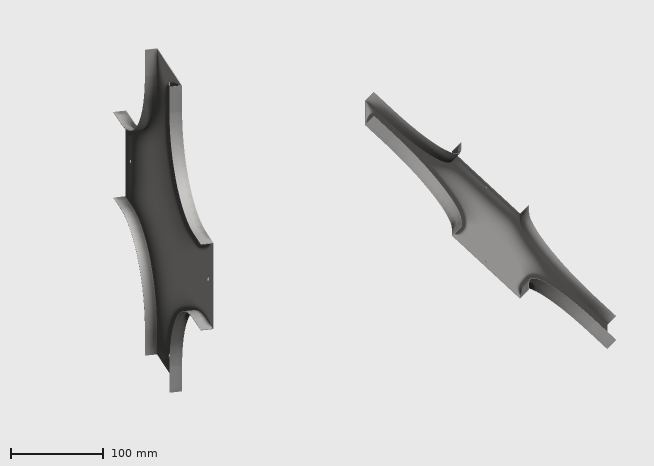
import cadquery as cq

span = 362.0
depth = 14.0
arm_width = 102.0
straight_length = 30.8
sheet = 0.7
hole_diameter = 5.0
hole_edge_distance = 20.0

half_span = span / 2
half_arm = arm_width / 2
arc_end = half_span - straight_length
corner_radius = arc_end - half_arm
back_y = depth / 2


def corner_cutout(growth):
    """Solid filling the open corner at +X +Z, with its rounded side moved inward by growth."""
    inner = half_arm - growth
    arc_middle = arc_end - (corner_radius + growth) / 2 ** 0.5
    return (
        cq.Workplane("XZ", origin=(0, back_y, 0))
        .moveTo(half_span, half_span)
        .lineTo(inner, half_span)
        .lineTo(inner, arc_end)
        .threePointArc((arc_middle, arc_middle), (arc_end, inner))
        .lineTo(half_span, inner)
        .close()
        .extrude(depth)
    )


result = cq.Workplane("XY").box(span, sheet, span).translate((0, back_y - sheet / 2, 0))

flange = corner_cutout(sheet).cut(corner_cutout(0))
for quarter in range(4):
    angle = 90 * quarter
    result = result.cut(corner_cutout(0).rotate((0, 0, 0), (0, 1, 0), angle))
    result = result.union(flange.rotate((0, 0, 0), (0, 1, 0), angle))

hole_offset = half_span - hole_edge_distance
holes = (
    cq.Workplane("XZ", origin=(0, back_y, 0))
    .polarArray(hole_offset, 0, 360, 4)
    .circle(hole_diameter / 2)
    .extrude(depth)
)
result = result.cut(holes)